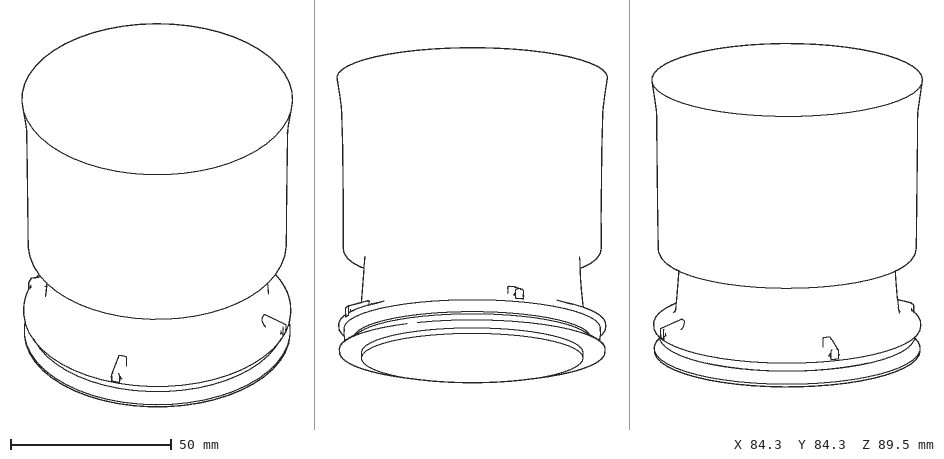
import cadquery as cq
import math

height = 89.5
top_radius = 84.33 / 2

barrel_bottom_z = 32.8
barrel_bottom_radius = 40.2
flare_start_z = 79.5
flare_start_radius = 40.7
flare_blend = 14.0
barrel_bottom_round = 2.5

neck_top_radius = 33.4
neck_bottom_radius = 34.9
neck_bottom_z = 13.25
neck_top_blend = 0.8
neck_bottom_blend = 2.0

flange_radius = 41.6
flange_bottom_z = 9.5
flange_rim_z = 11.0
flange_edge_round = 0.6
flange_underside_round = 0.4

ring_radius = 39.9
ring_bottom_z = 6.4
ring_edge_round = 0.5

lip_radius = 41.4
lip_bottom_z = 1.75
lip_edge_z = 2.9
lip_edge_round = 0.3
lip_root_radius = 36.9
lip_root_z = 5.7

spigot_radius = 34.5

rib_count = 4
rib_width = 2.6
rib_inner_radius = 30.0
rib_outer_radius = 41.7
rib_bottom_z = 10.1
rib_trim_allowance = 1.0
rib_outer_z = 13.1
rib_slope = (neck_bottom_z - flange_rim_z) / (flange_radius - neck_bottom_radius)
rib_top_round = 0.5
rib_root_blend = 0.7
rib_foot_sink = 0.05
rib_foot_depth = 0.6


def fillet_circle(body, z, radius, fillet_radius):
    """Round the one circular edge of the body that has this height and radius."""

    def matches(edge):
        if edge.geomType() != "CIRCLE":
            return False
        return math.isclose(edge.Center().z, z) and math.isclose(edge.radius(), radius)

    return body.edges().filter(matches).fillet(fillet_radius)


def make_turned_body():
    outline = [
        (0, 0),
        (spigot_radius, 0),
        (spigot_radius, lip_bottom_z),
        (lip_radius, lip_bottom_z),
        (lip_radius, lip_edge_z),
        (lip_root_radius, lip_root_z),
        (lip_root_radius, ring_bottom_z),
        (ring_radius, ring_bottom_z),
        (ring_radius, flange_bottom_z),
        (flange_radius, flange_bottom_z),
        (flange_radius, flange_rim_z),
        (neck_bottom_radius, neck_bottom_z),
        (neck_top_radius, barrel_bottom_z),
        (barrel_bottom_radius, barrel_bottom_z),
        (flare_start_radius, flare_start_z),
        (top_radius, height),
        (0, height),
    ]
    body = cq.Workplane("XZ").polyline(outline).close().revolve(360, (0, 0), (0, 1))
    body = fillet_circle(body, flare_start_z, flare_start_radius, flare_blend)
    body = fillet_circle(body, barrel_bottom_z, neck_top_radius, neck_top_blend)
    body = fillet_circle(body, barrel_bottom_z, barrel_bottom_radius, barrel_bottom_round)
    body = fillet_circle(body, neck_bottom_z, neck_bottom_radius, neck_bottom_blend)
    body = fillet_circle(body, flange_rim_z, flange_radius, flange_edge_round)
    body = fillet_circle(body, flange_bottom_z, flange_radius, flange_underside_round)
    body = fillet_circle(body, ring_bottom_z, ring_radius, ring_edge_round)
    body = fillet_circle(body, lip_bottom_z, lip_radius, lip_edge_round)
    return fillet_circle(body, lip_edge_z, lip_radius, lip_edge_round)


def make_rib_foot():
    """Flared foot of a rib: concave sides that run out on the sloping flange face."""
    slope_length = math.hypot(1, rib_slope)
    uphill = (-1 / slope_length, 0, rib_slope / slope_length)
    start = (flange_radius, 0, flange_rim_z - rib_foot_sink)
    face = cq.Plane(origin=start, xDir=(0, -1, 0), normal=uphill)
    half_width = rib_width / 2
    toe = half_width + rib_root_blend
    arc_offset = rib_root_blend * (1 - math.sqrt(0.5))
    section = (
        cq.Workplane(face)
        .moveTo(-toe, -rib_foot_depth)
        .lineTo(-toe, 0)
        .threePointArc((-half_width - arc_offset, arc_offset), (-half_width, rib_root_blend))
        .lineTo(half_width, rib_root_blend)
        .threePointArc((half_width + arc_offset, arc_offset), (toe, 0))
        .lineTo(toe, -rib_foot_depth)
        .close()
    )
    foot = section.extrude((flange_radius - rib_inner_radius) * slope_length)
    limit = cq.Workplane("XY").circle(flange_radius - flange_edge_round).extrude(height)
    return foot.intersect(limit)


def make_rib():
    """Rib along +X whose top runs parallel to the sloping flange face."""
    rib_inner_z = rib_outer_z + rib_slope * (rib_outer_radius - rib_inner_radius)
    blank_radius = rib_outer_radius + rib_trim_allowance
    blank_outer_z = rib_outer_z - rib_slope * rib_trim_allowance
    side = [
        (rib_inner_radius, rib_bottom_z),
        (blank_radius, rib_bottom_z),
        (blank_radius, blank_outer_z),
        (rib_inner_radius, rib_inner_z),
    ]
    blank = cq.Workplane("XZ").polyline(side).close().extrude(rib_width / 2, both=True)
    limit = cq.Workplane("XY").circle(rib_outer_radius).extrude(height)
    rib = blank.intersect(limit)
    top_direction = cq.Vector(rib_slope, 0, 1)
    top = rib.faces(cq.selectors.DirectionMinMaxSelector(top_direction))
    return top.edges("not |Y").fillet(rib_top_round).union(make_rib_foot())


result = make_turned_body().rotate((0, 0, 0), (0, 0, 1), 180 / rib_count)
for index in range(rib_count):
    result = result.union(make_rib().rotate((0, 0, 0), (0, 0, 1), index * 360 / rib_count))